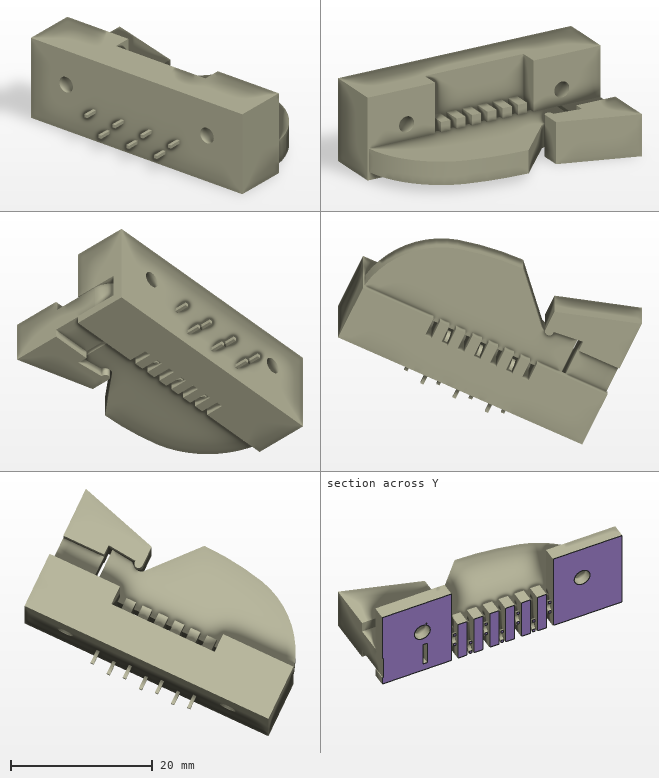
import cadquery as cq
body_length = 38.1
body_depth = 8.3
body_height = 12.7

hole_diameter = 2.45
hole_spacing = 25.37
hole_height = 7.28

contact_count = 7
contact_pitch = 2.5
window_width = 1.03
notch_back = 5.5
tooth_height = 6.45
pin_size = 0.5
pin_projection = 2.02
lower_pin_height = 2.25
upper_pin_height = 4.72
contact_tip = 7.1
contact_bend_start = 5.85

slot_bottom = 1.25
slot_top = 4.85
slot_height = slot_top - slot_bottom
slot_front = 1.52

lever_left = 0.1
arm_width = 6.35
arm_front = 1.95
arm_right = lever_left + arm_width
arm_radius = arm_width / 2
hook_projection = 11.77
lever_back = body_depth + hook_projection
hook_front = 12.6
hook_height = 6.45
hook_right = 12.08
hook_corner_back = 16.5
hook_inner_left = 14.1
hook_inner_right = 13.68
hook_tip_radius = 0.6
hook_tip_y = 13.5

cam_left = 7.12
cam_front = 7.55
cam_right = 37.87
cam_shoulder_left = (cam_left, 14.02)
cam_shoulder_right = (10.35, 13.65)
cam_valley_start = (11.05, 13.05)
cam_valley_bottom = (11.7, 12.85)
cam_valley_end = (12.5, 13.2)
cam_peak = (18.63, lever_back)
cam_crown_middle = (23.45, 19.77)
cam_crown_end = (28.27, 18.9)
cam_nose_middle = (35.13, 14.45)

contact_center = body_length / 2
row_length = (contact_count - 1) * contact_pitch
notch_length = row_length + window_width
contact_positions = [
    contact_center - row_length / 2 + i * contact_pitch for i in range(contact_count)
]


def block(x_range, y_range, z_range):
    """Box between the given limits along each axis."""
    (x0, x1), (y0, y1), (z0, z1) = x_range, y_range, z_range
    box = cq.Workplane("XY").box(x1 - x0, y1 - y0, z1 - z0, centered=False)
    return box.translate((x0, y0, z0))


def make_body():
    """Block with mounting holes, contact windows and the lever slot."""
    body = block((0, body_length), (0, body_depth), (0, body_height))

    hole_centers = [
        (contact_center - hole_spacing / 2, hole_height),
        (contact_center + hole_spacing / 2, hole_height),
    ]
    holes = (
        cq.Workplane("XZ")
        .pushPoints(hole_centers)
        .circle(hole_diameter / 2)
        .extrude(-body_depth)
    )
    body = body.cut(holes)

    notch_left = contact_center - notch_length / 2
    body = body.cut(
        block(
            (notch_left, notch_left + notch_length),
            (notch_back, body_depth),
            (tooth_height, body_height),
        )
    )
    for x in contact_positions:
        window_x = (x - window_width / 2, x + window_width / 2)
        body = body.cut(block(window_x, (notch_back, body_depth), (0, tooth_height)))

    return body.cut(block((0, cam_left), (slot_front, body_depth), (slot_bottom, slot_top)))


def make_lever():
    """Arm in the slot, carrying a thicker hook that reaches over the cam."""
    pivot_y = arm_front + arm_radius
    arm = (
        cq.Workplane("XY", origin=(0, 0, slot_bottom))
        .moveTo(lever_left, hook_front)
        .lineTo(lever_left, pivot_y)
        .threePointArc((lever_left + arm_radius, arm_front), (arm_right, pivot_y))
        .lineTo(arm_right, hook_front)
        .close()
        .extrude(slot_height)
    )

    tip_left = hook_right - 2 * hook_tip_radius
    tip_middle = hook_right - hook_tip_radius
    hook = (
        cq.Workplane("XY")
        .moveTo(lever_left, hook_front)
        .lineTo(arm_right, hook_front)
        .lineTo(arm_right, hook_inner_left)
        .lineTo(tip_left, hook_inner_right)
        .lineTo(tip_left, hook_tip_y)
        .threePointArc((tip_middle, hook_tip_y - hook_tip_radius), (hook_right, hook_tip_y))
        .lineTo(hook_right, hook_corner_back)
        .lineTo(lever_left, lever_back)
        .close()
        .extrude(hook_height)
    )
    return arm.union(hook)


def make_cam():
    """Flat plate with a valley for the hook tooth and a back edge of two arcs."""
    return (
        cq.Workplane("XY", origin=(0, 0, slot_bottom))
        .moveTo(cam_left, cam_front)
        .lineTo(*cam_shoulder_left)
        .lineTo(*cam_shoulder_right)
        .lineTo(*cam_valley_start)
        .threePointArc(cam_valley_bottom, cam_valley_end)
        .lineTo(*cam_peak)
        .threePointArc(cam_crown_middle, cam_crown_end)
        .threePointArc(cam_nose_middle, (cam_right, body_depth))
        .lineTo(cam_right, cam_front)
        .close()
        .extrude(slot_height)
    )


def make_contact(x, height):
    """Square pin through the body whose inner end turns back underneath in a half-round bend."""
    left = x - pin_size / 2
    top = height + pin_size / 2
    bottom = height - pin_size / 2
    bend_radius = contact_tip - contact_bend_start
    inner_radius = bend_radius - pin_size
    bend_center_z = top - bend_radius
    inner_tip = contact_tip - pin_size
    return (
        cq.Workplane("YZ", origin=(left, 0, 0))
        .moveTo(-pin_projection, bottom)
        .lineTo(-pin_projection, top)
        .lineTo(contact_bend_start, top)
        .threePointArc(
            (contact_tip, bend_center_z),
            (contact_bend_start, bend_center_z - bend_radius),
        )
        .lineTo(contact_bend_start, bend_center_z - inner_radius)
        .threePointArc((inner_tip, bend_center_z), (contact_bend_start, bottom))
        .close()
        .extrude(pin_size)
    )


result = make_body().union(make_lever()).union(make_cam())
for index, position in enumerate(contact_positions):
    pin_height = upper_pin_height if index % 2 == 0 else lower_pin_height
    result = result.union(make_contact(position, pin_height))